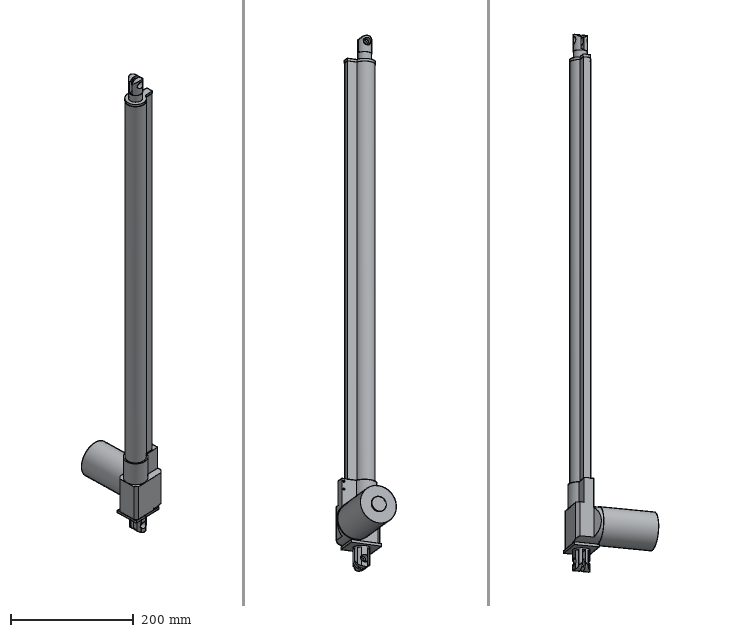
import cadquery as cq

total_height = 912.5
overlap = 2.0

housing_width = 43.0
plate_lip = 0.5
housing_front = -21.0
housing_shoulder = 22.0
housing_rear = 44.0
housing_top = 106.0
edge_chamfer = 5.5
plate_bottom = 36.0
plate_top = 40.0
plate_rear = 33.0

motor_diameter = 64.0
motor_y = 26.0
motor_z = 73.0
motor_length = 94.0
motor_boss_diameter = 26.0
motor_boss_height = 3.0
mount_diameter = 62.0
motor_mount_width = 5.0

sleeve_diameter = 40.0
sleeve_top = 148.0
column_width = 16.0
screw_diameter = 3.0
screw_depth = 3.0
screw_y = 40.0
screw_top_drop = 5.0
screw_spacing = 14.0

tube_diameter = 35.0
rail_width = 12.0
rail_rear = 33.0
cap_bottom = 866.0
cap_top = 870.5
cap_overhang = 0.5

rod_diameter = 23.0
fork_diameter = 24.0
fork_bottom = 884.0
fork_slot_bottom = 886.0
fork_tip_radius = 14.0
fork_hole_z = 902.0

clevis_diameter = 28.0
clevis_core_diameter = 26.0
clevis_y = 5.5
flute_width = 6.8
flute_angle = 38
clevis_collar = 3.0

slot_top = plate_bottom - clevis_collar

slot_width = 5.5
pin_diameter = 13.0

half_width = housing_width / 2
block_half_width = half_width - plate_lip
motor_left = -half_width - motor_length
block_front = housing_front + plate_lip


def block(x_range, y_range, z_range):
    """Box between the given limits on each axis."""
    size = [high - low for low, high in (x_range, y_range, z_range)]
    corner = cq.Vector(x_range[0], y_range[0], z_range[0])
    return cq.Workplane(cq.Solid.makeBox(*size, corner))


def upright(diameter, bottom, top, y=0.0):
    """Vertical cylinder on X = 0."""
    return cq.Workplane("XY", origin=(0, y, bottom)).circle(diameter / 2).extrude(top - bottom)


def crosswise(diameter, left, right, y, z):
    """Cylinder along X."""
    return cq.Workplane("YZ", origin=(left, y, z)).circle(diameter / 2).extrude(right - left)


def railed_tube(diameter, width, rear, bottom, top):
    """Vertical cylinder with a flat-sided rail running along its rear."""
    rail = block((-width / 2, width / 2), (0, rear), (bottom, top))
    return upright(diameter, bottom, top).union(rail)


def housing():
    front_block = block(
        (-block_half_width, block_half_width), (block_front, housing_shoulder), (plate_top, housing_top)
    ).faces("<Y").edges("|Z").chamfer(edge_chamfer)
    plate = block((-half_width, half_width), (housing_front, plate_rear), (plate_bottom, plate_top))

    mount_rear = motor_y + mount_diameter / 2
    mount_right = -half_width + motor_mount_width
    column_left = -column_width / 2
    rear_round = (
        cq.Workplane("XY", origin=(0, 0, plate_top))
        .moveTo(-block_half_width, 0)
        .lineTo(-block_half_width, mount_rear)
        .lineTo(mount_right, mount_rear)
        .lineTo(column_left, housing_rear)
        .lineTo(block_half_width - edge_chamfer, housing_rear)
        .lineTo(block_half_width, housing_rear - edge_chamfer)
        .lineTo(block_half_width, 0)
        .close()
        .extrude(housing_top - plate_top)
        .intersect(crosswise(mount_diameter, -half_width, half_width, motor_y, motor_z))
    )
    rear_block = block((column_left, block_half_width), (0, housing_rear), (motor_z, housing_top))
    rear_block = rear_block.edges("|Z and >X and >Y").chamfer(edge_chamfer)
    return front_block.union(plate).union(rear_round).union(rear_block)


def motor():
    body = crosswise(motor_diameter, motor_left, -block_half_width, motor_y, motor_z)
    boss_left = motor_left - motor_boss_height
    return body.union(crosswise(motor_boss_diameter, boss_left, motor_left + overlap, motor_y, motor_z))


def sleeve():
    body = railed_tube(sleeve_diameter, column_width, housing_rear, housing_top - overlap, sleeve_top)
    column_left = -column_width / 2
    for index in range(2):
        screw_z = sleeve_top - screw_top_drop - index * screw_spacing
        body = body.cut(
            crosswise(screw_diameter, column_left, column_left + screw_depth, screw_y, screw_z)
        )
    return body


def outer_tube():
    tube = railed_tube(tube_diameter, rail_width, rail_rear, sleeve_top - overlap, cap_bottom)
    cap = railed_tube(
        tube_diameter + 2 * cap_overhang,
        rail_width + 2 * cap_overhang,
        rail_rear + cap_overhang,
        cap_bottom,
        cap_top,
    )
    return tube.union(cap)


def fork():
    rod = upright(rod_diameter, cap_top - overlap, fork_bottom)
    radius = fork_diameter / 2
    tip_center = total_height - fork_tip_radius
    rounded_tip = crosswise(2 * fork_tip_radius, -radius, radius, 0, tip_center).union(
        block((-radius, radius), (-radius, radius), (fork_bottom, tip_center))
    )
    head = upright(fork_diameter, fork_bottom, total_height).intersect(rounded_tip)
    slot = block((-slot_width / 2, slot_width / 2), (-radius, radius), (fork_slot_bottom, total_height))
    pin_hole = crosswise(pin_diameter, -radius, radius, 0, fork_hole_z)
    return rod.union(head.cut(slot).cut(pin_hole))


def lower_clevis():
    radius = clevis_diameter / 2
    top = plate_bottom + overlap
    body = upright(clevis_diameter, 0, top, clevis_y)

    core_radius = clevis_core_diameter / 2
    for angle in (flute_angle, 180 - flute_angle, 180 + flute_angle, -flute_angle):
        flute = (
            cq.Workplane("XY")
            .center((core_radius + radius) / 2, 0)
            .rect(radius - core_radius, flute_width)
            .extrude(slot_top)
            .rotate((0, 0, 0), (0, 0, 1), angle)
            .translate((0, clevis_y, 0))
        )
        body = body.cut(flute)

    rounded_tip = crosswise(clevis_diameter, -radius, radius, clevis_y, radius).union(
        block((-radius, radius), (clevis_y - radius, clevis_y + radius), (radius, top))
    )
    slot = block(
        (-slot_width / 2, slot_width / 2), (clevis_y - radius, clevis_y + radius), (0, slot_top)
    )
    pin_hole = crosswise(pin_diameter, -radius, radius, clevis_y, radius)
    return body.intersect(rounded_tip).cut(slot).cut(pin_hole)


result = housing()
for feature in (motor(), sleeve(), outer_tube(), fork(), lower_clevis()):
    result = result.union(feature)